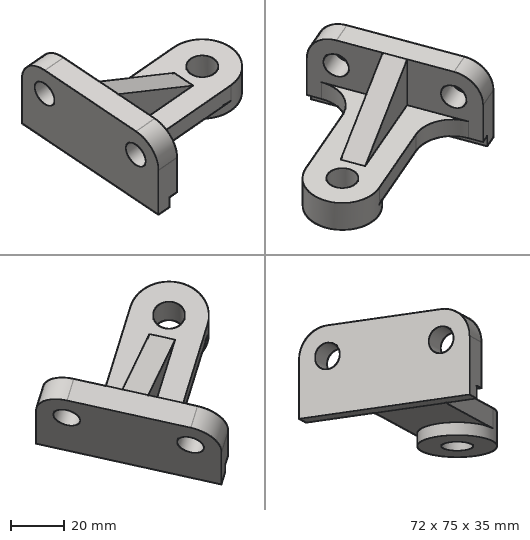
import cadquery as cq

plate_width = 72.0
plate_height = 35.0
plate_thickness = 10.0
plate_corner_radius = 12.0
mount_hole_diameter = 10.4
mount_hole_spacing = plate_width - 2 * plate_corner_radius
mount_hole_height = plate_height - plate_corner_radius

lip_thickness = 6.0
lip_height = 5.0

arm_width = 30.0
arm_thickness = 8.0
arm_bottom = lip_height
arm_top = arm_bottom + arm_thickness
end_radius = arm_width / 2
part_length = 75.0
pivot_y = part_length - end_radius
pivot_hole_diameter = 12.0
root_radius = 15.0

rib_width = 10.0
rib_end_y = 50.0


def make_plate():
    """Upright plate with rounded top corners and a stepped bottom edge."""
    plate = cq.Workplane("XY").box(
        plate_width, plate_thickness, plate_height, centered=(True, False, False)
    )
    plate = plate.edges("|Y and >Z").fillet(plate_corner_radius)
    step = (
        cq.Workplane("XY")
        .box(plate_width, plate_thickness - lip_thickness, lip_height, centered=(True, False, False))
        .translate((0, lip_thickness, 0))
    )
    return plate.cut(step)


def make_arm():
    """Flat arm that flares into the plate through concave quarter circles."""
    half_width = arm_width / 2
    root_half_width = half_width + root_radius
    flare_end_y = plate_thickness + root_radius
    return (
        cq.Workplane("XY", origin=(0, 0, arm_bottom))
        .moveTo(-root_half_width, plate_thickness)
        .lineTo(root_half_width, plate_thickness)
        .radiusArc((half_width, flare_end_y), root_radius)
        .lineTo(half_width, pivot_y)
        .threePointArc((0, part_length), (-half_width, pivot_y))
        .lineTo(-half_width, flare_end_y)
        .radiusArc((-root_half_width, plate_thickness), root_radius)
        .close()
        .extrude(arm_thickness)
    )


def make_pivot_boss():
    """Round boss at the arm end, reaching down to the bottom of the plate."""
    return cq.Workplane("XY", origin=(0, pivot_y, 0)).circle(end_radius).extrude(arm_top)


def make_rib():
    """Triangular rib sloping from the top of the plate down to the arm."""
    return (
        cq.Workplane("YZ")
        .moveTo(plate_thickness, arm_top)
        .lineTo(rib_end_y, arm_top)
        .lineTo(plate_thickness, plate_height)
        .close()
        .extrude(rib_width / 2, both=True)
    )


def make_mount_holes():
    """Pair of cylinders for the holes through the plate."""
    half_spacing = mount_hole_spacing / 2
    return (
        cq.Workplane("XZ")
        .pushPoints([(side * half_spacing, mount_hole_height) for side in (-1, 1)])
        .circle(mount_hole_diameter / 2)
        .extrude(-plate_thickness)
    )


def make_pivot_hole():
    """Cylinder for the hole through the boss."""
    return cq.Workplane("XY", origin=(0, pivot_y, 0)).circle(pivot_hole_diameter / 2).extrude(arm_top)


body = make_plate().union(make_arm()).union(make_pivot_boss()).union(make_rib())
result = body.cut(make_mount_holes()).cut(make_pivot_hole())